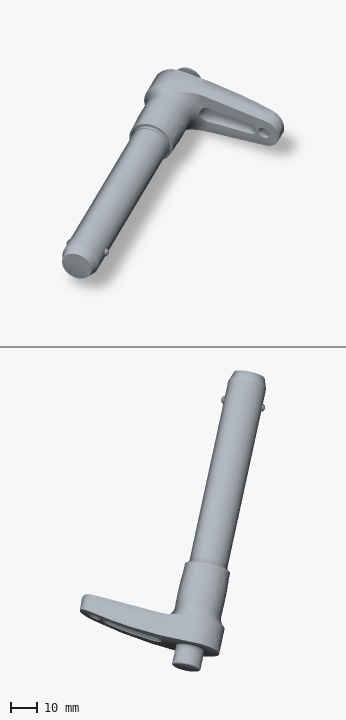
import cadquery as cq
import math


total_length = 117.1
tip_radius = 6.0
tip_length = 4.0
shaft_radius = 7.4
collar_radius = 7.6
collar_start = 76.2
sleeve_start = 77.4
sleeve_end_radius = 8.8
sleeve_band_width = 2.1
sleeve_top_radius = 9.0
sleeve_top = 94.7
sleeve_bulge = 0.2
flare_radius = 5.4

button_radius = 5.5
button_chamfer = 0.4

ball_radius = 1.6
ball_position = 11.5
ball_reach = 8.5

handle_top = 109.2
handle_width = 20.3
hub_radius = handle_width / 2
hub_x = -1.11
handle_end_x = 44.4
handle_end_radius = 6.1
handle_drop = 5.7
underside_slope_start = 13.3
underside_drop = 2.6
end_slant = 0.2
end_fillet = 1.4

slot_start_x = 11.2
slot_end_x = 34.9
slot_start_radius = 3.4
slot_end_radius = 2.6
hole_x = 38.2
hole_radius = 2.3

flare_outer_radius = sleeve_top_radius + flare_radius
underside_y = sleeve_top + flare_radius


def tapered_bar(start_x, start_radius, end_x, end_radius):
    """Two circles joined by their outer tangents, as a prism spanning the full pin length."""
    tilt = math.asin((start_radius - end_radius) / (end_x - start_x))

    def tangent_point(center_x, radius):
        return center_x + radius * math.sin(tilt), radius * math.cos(tilt)

    near_x, near_z = tangent_point(start_x, start_radius)
    far_x, far_z = tangent_point(end_x, end_radius)
    return (
        cq.Workplane("XZ")
        .moveTo(near_x, near_z)
        .lineTo(far_x, far_z)
        .threePointArc((end_x + end_radius, 0), (far_x, -far_z))
        .lineTo(near_x, -near_z)
        .threePointArc((start_x - start_radius, 0), (near_x, near_z))
        .close()
        .extrude(-total_length)
    )


def make_pin():
    """Turned body: tip, shaft, collar and barrel sleeve, up to the handle underside."""
    band_end = sleeve_start + sleeve_band_width
    barrel_middle = (
        (sleeve_end_radius + sleeve_top_radius) / 2 + sleeve_bulge,
        (band_end + sleeve_top) / 2,
    )
    return (
        cq.Workplane("XY")
        .lineTo(tip_radius, 0)
        .lineTo(shaft_radius, tip_length)
        .lineTo(shaft_radius, collar_start)
        .lineTo(collar_radius, collar_start)
        .lineTo(collar_radius, sleeve_start)
        .lineTo(sleeve_end_radius, sleeve_start)
        .lineTo(sleeve_end_radius, band_end)
        .threePointArc(barrel_middle, (sleeve_top_radius, sleeve_top))
        .lineTo(sleeve_top_radius, underside_y)
        .lineTo(0, underside_y)
        .close()
        .revolve(360, (0, 0, 0), (0, 1, 0))
    )


def make_flare():
    """Trumpet-shaped blend around the top of the sleeve."""
    bend = flare_radius * math.sqrt(0.5)
    return (
        cq.Workplane("XY")
        .moveTo(0, sleeve_top)
        .lineTo(sleeve_top_radius, sleeve_top)
        .threePointArc(
            (flare_outer_radius - bend, sleeve_top + bend),
            (flare_outer_radius, underside_y),
        )
        .lineTo(0, underside_y)
        .close()
        .revolve(360, (0, 0, 0), (0, 1, 0))
    )


def make_handle_side():
    """Side shape of the handle, with a top that curves down away from the hub."""
    top_end_x = handle_end_x - end_slant
    top_arc_radius = (top_end_x**2 + handle_drop**2) / (2 * handle_drop)
    half_x = top_end_x / 2
    half_y = handle_top - top_arc_radius + math.sqrt(top_arc_radius**2 - half_x**2)
    hub_start_x = hub_x - hub_radius
    return (
        cq.Workplane("XY")
        .moveTo(hub_start_x, underside_y)
        .lineTo(underside_slope_start, underside_y)
        .lineTo(handle_end_x, underside_y - underside_drop)
        .lineTo(top_end_x, handle_top - handle_drop)
        .threePointArc((half_x, half_y), (0, handle_top))
        .lineTo(hub_start_x, handle_top)
        .close()
        .extrude(hub_radius, both=True)
        .edges(cq.selectors.NearestToPointSelector((handle_end_x, underside_y - underside_drop, 0)))
        .fillet(end_fillet)
    )


def make_handle():
    """Handle with its flare, trimmed to the tapered outline and opened by slot and hole."""
    outline = tapered_bar(hub_x, hub_radius, handle_end_x - handle_end_radius, handle_end_radius)
    slot = tapered_bar(
        slot_start_x + slot_start_radius,
        slot_start_radius,
        slot_end_x - slot_end_radius,
        slot_end_radius,
    )
    hole = cq.Workplane("XZ").center(hole_x, 0).circle(hole_radius).extrude(-total_length)
    return make_handle_side().union(make_flare()).intersect(outline).cut(slot).cut(hole)


def make_button():
    return (
        cq.Workplane("XZ", origin=(0, underside_y, 0))
        .circle(button_radius)
        .extrude(underside_y - total_length)
        .faces(">Y")
        .chamfer(button_chamfer)
    )


result = make_pin().union(make_handle()).union(make_button())
for side in (-1, 1):
    ball_x = side * (ball_reach - ball_radius)
    result = result.union(cq.Workplane("XY").sphere(ball_radius).translate((ball_x, ball_position, 0)))